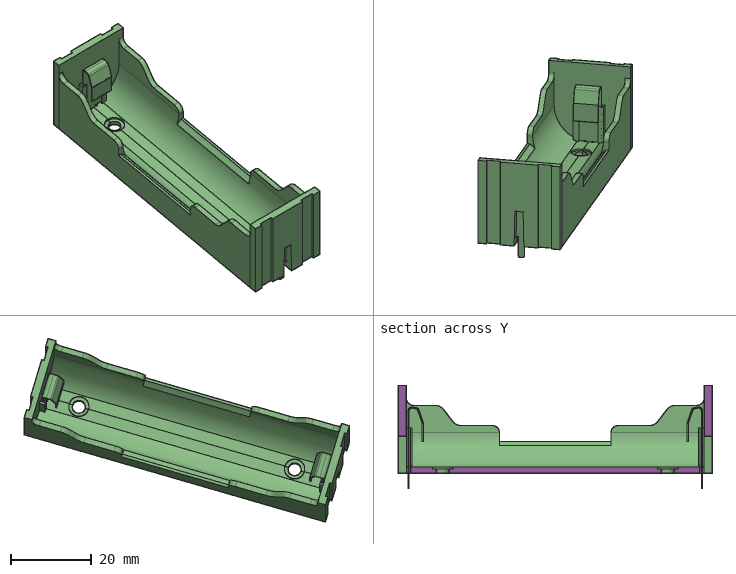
import cadquery as cq
import math


length = 77.65
width = 20.8
height = 21.75
half_length = length / 2
half_width = width / 2

plate_thickness = 2.0
plate_face = half_length - plate_thickness
groove_depth = 0.6
groove_width = 3.5
groove_offset = 6.56

trough_radius = 9.0
trough_axis_height = 10.2
floor_thickness = 1.6

high_wall = 16.85
low_wall = 11.9
notch_wall = 7.9
notch_half_length = 13.75
edge_radius = 1.9
slope_top = 29.5
slope_bottom = 23.45
slope_easing = 2.6

scoop_radius = 14.75
rim_width = 0.7

hole_offset = 27.8
hole_diameter = 3.2
counterbore_diameter = 5.0
counterbore_depth = 0.5

strip_thickness = 0.3
contact_width = 6.3
leg_gap = 0.4
contact_reach = 4.2
contact_top = 16.7
shoulder_drop = 0.55
shoulder_reach = 2.95
knee_height = 12.6
tongue_end = 7.9
top_bend_radius = 1.0
front_bend_radius = 0.6
pin_width = 1.6
pin_length = 3.7
pin_corner = 0.3

guide_width = 7.8
guide_depth = 1.4
guide_lip = 0.3
guide_height = 11.2
guide_channel_width = 6.5
guide_opening_width = 4.8
channel_depth = guide_depth - guide_lip

slot_height = 9.2
slot_foot_width = 2.5
slot_top_width = 2.1


def block(x_start, x_end, across, z_start, z_end):
    """A box centred on Y = 0."""
    return (
        cq.Workplane("XY")
        .box(x_end - x_start, across, z_end - z_start, centered=(False, True, False))
        .translate((x_start, 0, z_start))
    )


def at_both_ends(shape):
    """A shape made for the +X end, joined with its mirror image at the -X end."""
    return shape.union(shape.mirror("YZ"))


def edge_at(x, z):
    """Selector for an edge along Y at the given X and Z."""
    reach = 0.1
    return cq.selectors.BoxSelector((x - reach, -width, z - reach), (x + reach, width, z + reach))


def cylinder_along_x(radius, axis_height, half_span):
    return (
        cq.Workplane("YZ", origin=(-half_span, 0, axis_height))
        .circle(radius)
        .extrude(2 * half_span)
    )


def half_side_opening():
    """Space above the side walls from the middle to the +X end plate."""
    opening = (
        cq.Workplane("XZ", origin=(0, half_width, 0))
        .moveTo(0, notch_wall)
        .lineTo(notch_half_length, notch_wall)
        .lineTo(notch_half_length, low_wall)
        .lineTo(slope_bottom, low_wall)
        .bezier(
            [
                (slope_bottom, low_wall),
                (slope_bottom + slope_easing, low_wall),
                (slope_top - slope_easing, high_wall),
                (slope_top, high_wall),
            ]
        )
        .lineTo(plate_face, high_wall)
        .lineTo(plate_face, height)
        .lineTo(0, height)
        .close()
        .extrude(width)
    )
    for corner in ((notch_half_length, low_wall), (plate_face, high_wall)):
        opening = opening.edges(edge_at(*corner)).fillet(edge_radius)
    return opening


def trough_hollow():
    """Round hollow between the end plates, filled up level to the floor."""
    hollow = cylinder_along_x(trough_radius, trough_axis_height, plate_face)
    above_axis = block(-plate_face, plate_face, 2 * trough_radius, trough_axis_height, height)
    above_floor = block(-plate_face, plate_face, width, floor_thickness, height)
    return hollow.union(above_axis).intersect(above_floor)


def finger_scoop():
    """Cylinder that leaves a narrow flat rim along the outside of the notch."""
    rim_edge = half_width - rim_width
    axis_height = notch_wall + math.sqrt(scoop_radius**2 - rim_edge**2)
    return cylinder_along_x(scoop_radius, axis_height, notch_half_length)


def mounting_holes():
    spots = [(-hole_offset, 0), (hole_offset, 0)]
    holes = cq.Workplane("XY").pushPoints(spots).circle(hole_diameter / 2).extrude(floor_thickness)
    counterbores = (
        cq.Workplane("XY", origin=(0, 0, floor_thickness - counterbore_depth))
        .pushPoints(spots)
        .circle(counterbore_diameter / 2)
        .extrude(counterbore_depth)
    )
    return holes.union(counterbores)


def plate_grooves():
    spots = [(half_length - groove_depth / 2, side * groove_offset) for side in (-1, 1)]
    return cq.Workplane("XY").pushPoints(spots).rect(groove_depth, groove_width).extrude(height)


def contact_guide():
    """C-shaped channel, open at the top, around the contact leg."""
    face = plate_face - guide_depth
    back = plate_face - channel_depth
    guide = block(face, plate_face, guide_width, 0, guide_height)
    channel = block(back, plate_face, guide_channel_width, floor_thickness, guide_height)
    opening = block(face, back, guide_opening_width, floor_thickness, guide_height)
    return guide.cut(channel).cut(opening)


def contact_slot():
    """Slot through the end plate that narrows upward and also reaches into the floor under the leg."""
    return (
        cq.Workplane("YZ", origin=(plate_face - channel_depth, 0, 0))
        .moveTo(-slot_foot_width / 2, 0)
        .lineTo(slot_foot_width / 2, 0)
        .lineTo(slot_top_width / 2, slot_height)
        .lineTo(-slot_top_width / 2, slot_height)
        .close()
        .extrude(channel_depth + plate_thickness)
    )


def whole_housing():
    housing = block(-half_length, half_length, width, 0, height)
    housing = housing.cut(at_both_ends(half_side_opening()))
    housing = housing.cut(trough_hollow())
    housing = housing.cut(finger_scoop())
    housing = housing.cut(mounting_holes())
    housing = housing.union(at_both_ends(contact_guide()))
    housing = housing.cut(at_both_ends(plate_grooves()))
    return housing.cut(at_both_ends(contact_slot()))


def front_region():
    """Everything between the end plates on the -Y side of the split."""
    region = block(-plate_face, plate_face, width, 0, height)
    return region.translate((0, -half_width, 0))


def bent_strip():
    """Contact strip at the +X end: leg, rounded top, and a tongue that leans in and hangs down."""
    leg_face = plate_face - leg_gap
    tongue_face = plate_face - contact_reach
    shoulder = (plate_face - shoulder_reach, contact_top - shoulder_drop)
    outline = (
        cq.Workplane("XZ")
        .moveTo(leg_face, floor_thickness)
        .lineTo(leg_face, contact_top)
        .lineTo(*shoulder)
        .lineTo(tongue_face, knee_height)
        .lineTo(tongue_face, floor_thickness)
        .close()
        .extrude(contact_width)
        .translate((0, contact_width / 2, 0))
        .edges("|Y and >Z")
        .fillet(top_bend_radius)
    )
    outline = outline.edges(edge_at(*shoulder)).fillet(front_bend_radius)
    inside = (
        outline.faces("<Y")
        .wires()
        .toPending()
        .workplane()
        .offset2D(-strip_thickness)
        .extrude(-contact_width, combine=False)
    )
    below_tongue = block(tongue_face, leg_face - strip_thickness, contact_width, 0, tongue_end)
    return outline.cut(inside).cut(below_tongue)


def contact_pin():
    leg_face = plate_face - leg_gap
    pin = block(leg_face - strip_thickness, leg_face, pin_width, -pin_length, floor_thickness)
    return pin.edges("|X and <Z").chamfer(pin_corner)


def contact(end):
    """Spring contact at the +X end (end = 1) or the -X end (end = -1)."""
    shape = bent_strip().union(contact_pin())
    return shape if end > 0 else shape.mirror("YZ")


complete = whole_housing()
back_housing = complete.cut(front_region())
front_half = complete.intersect(front_region())
contacts = [contact(end) for end in (-1, 1)]

result = cq.Compound.makeCompound(
    [back_housing.val(), front_half.val(), *[spring.val() for spring in contacts]]
)